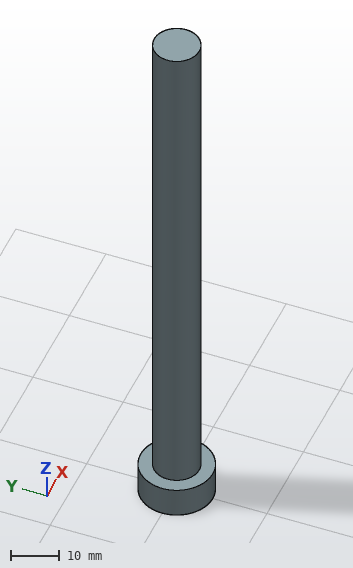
import cadquery as cq

total_length = 125.0
head_diameter = 16.0
head_height = 7.0
shaft_diameter = 10.0

head = cq.Workplane("XY").circle(head_diameter / 2).extrude(head_height)
shaft = cq.Workplane("XY").circle(shaft_diameter / 2).extrude(total_length)

result = head.union(shaft)